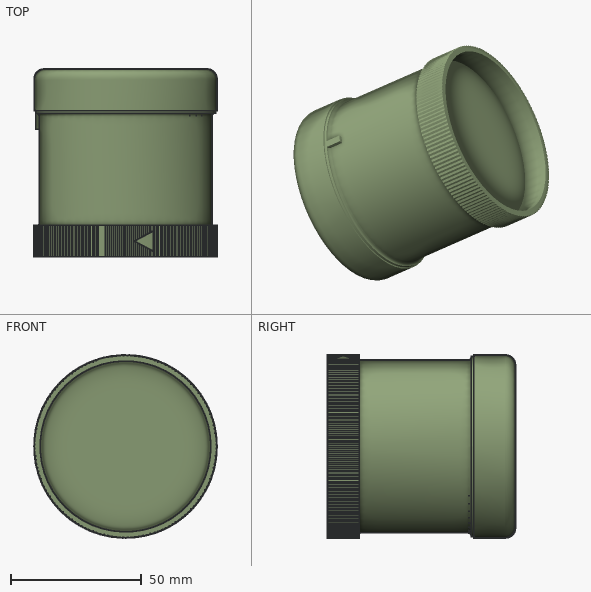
import cadquery as cq
import math

length = 72.0
outer_radius = 35.1

ring_length = 12.2
tooth_count = 144
tooth_depth = 0.325

bar_angle = -15.0
bar_width = 2.9
arrow_tip_x = 3.3
arrow_base_x = 10.6
arrow_half_width = 3.9
arrow_center_y = ring_length / 2

recess_radius = 32.7
recess_depth = 9.65

barrel_radius = 33.1
ring_fillet = 0.4

cap_start = 56.0
cap_fillet = 3.95
lip_radius = 34.5
lip_start = 55.0
lip_fillet = 1.0

lug_start = 48.8
lug_width = 2.7
lug_center_z = -2.9

end_plane = cq.Plane(origin=(0, 0, 0), xDir=(1, 0, 0), normal=(0, 1, 0))


def cylinder(radius, start, end):
    return cq.Workplane(end_plane).workplane(offset=start).circle(radius).extrude(end - start)


def make_body():
    """Barrel, lip and cap as one turned profile, with its fillets drawn as arcs."""
    arc_inset = 1 - math.sqrt(0.5)
    ring_inset = ring_fillet * arc_inset
    lip_inset = lip_fillet * arc_inset
    cap_inset = cap_fillet * arc_inset
    ring_middle = (barrel_radius + ring_inset, ring_length + ring_inset)
    lip_middle = (barrel_radius + lip_inset, lip_start - lip_inset)
    cap_middle = (outer_radius - cap_inset, length - cap_inset)
    profile = (
        cq.Workplane("XY")
        .lineTo(barrel_radius, 0)
        .lineTo(barrel_radius, ring_length)
        .lineTo(barrel_radius + ring_fillet, ring_length)
        .threePointArc(ring_middle, (barrel_radius, ring_length + ring_fillet))
        .lineTo(barrel_radius, lip_start - lip_fillet)
        .threePointArc(lip_middle, (barrel_radius + lip_fillet, lip_start))
        .lineTo(lip_radius, lip_start)
        .lineTo(lip_radius, cap_start)
        .lineTo(outer_radius, cap_start)
        .lineTo(outer_radius, length - cap_fillet)
        .threePointArc(cap_middle, (outer_radius - cap_fillet, length))
        .lineTo(0, length)
        .close()
    )
    return profile.revolve(360, (0, 0, 0), (0, 1, 0))


def make_knurled_ring():
    """Ring of V-shaped teeth, with a tooth tip on the +X axis."""
    half_pitch = math.pi / tooth_count
    points = []
    for i in range(2 * tooth_count):
        radius = outer_radius - tooth_depth * (i % 2)
        angle = i * half_pitch
        points.append((radius * math.cos(angle), radius * math.sin(angle)))
    return cq.Workplane(end_plane).polyline(points).close().extrude(ring_length)


def make_bar():
    """Plain strip across the knurling."""
    strip = (
        cq.Workplane("XY")
        .rect(bar_width, 2 * ring_length)
        .extrude(2 * outer_radius)
        .rotate((0, 0, 0), (0, 1, 0), bar_angle)
    )
    return strip.intersect(cylinder(outer_radius, 0, ring_length))


def make_arrow():
    """Plain triangle on top of the knurling, pointing at the bar."""
    triangle = (
        cq.Workplane("XY")
        .moveTo(arrow_tip_x, arrow_center_y)
        .lineTo(arrow_base_x, arrow_center_y - arrow_half_width)
        .lineTo(arrow_base_x, arrow_center_y + arrow_half_width)
        .close()
        .extrude(2 * outer_radius)
    )
    return triangle.intersect(cylinder(outer_radius, 0, ring_length))


def make_lug():
    """Short key on the -X side, as high as the lip."""
    lug_length = cap_start - lug_start
    block = (
        cq.Workplane("YZ", origin=(0, lug_start + lug_length / 2, lug_center_z))
        .rect(lug_length, lug_width)
        .extrude(-2 * outer_radius)
    )
    return block.intersect(cylinder(lip_radius, lug_start, cap_start))


recess = cylinder(recess_radius, 0, recess_depth)

result = (
    make_body()
    .union(make_knurled_ring())
    .union(make_bar())
    .union(make_arrow())
    .union(make_lug())
    .cut(recess)
)